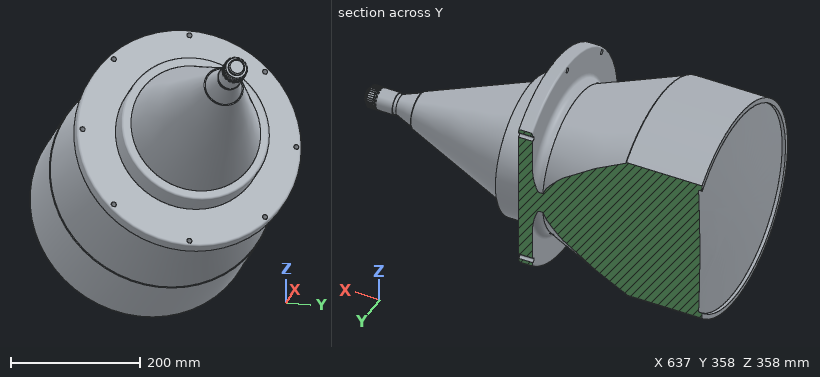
import cadquery as cq
import math


LENGTH = 637.0
BARREL_END = 132.0
NECK_START = 275.0
FLANGE_FRONT = 292.5
FLANGE_THICKNESS = 25.0
HUB_END = 360.0
CONE_END = 548.0
NOSE_CONE_END = 580.0
CONNECTOR_START = 586.0
GRIP_START = 614.5
TIP_START = 632.0

BODY_RADIUS = 179.0
NECK_RADIUS = 122.0
HUB_RADIUS = 118.0
CONE_START_RADIUS = 103.0
CONE_END_RADIUS = 31.0
NOSE_CONE_RADIUS = 29.0
NOSE_RADIUS = 17.0
CONNECTOR_RADIUS = 18.5
TIP_RADIUS = 13.0

NECK_FILLET = 11.5
EDGE_FILLET = 4.0
BARREL_CHAMFER = 1.0
TIP_CHAMFER = 2.0

LENS_RADIUS = 171.0
LENS_RIM_DEPTH = 6.0
LENS_CROWN_DEPTH = 0.5

BOLT_COUNT = 8
BOLT_CIRCLE_RADIUS = 170.0
BOLT_HOLE_DIAMETER = 7.5

GRIP_SLOT_COUNT = 16
GRIP_SLOT_WIDTH = 3.0
GRIP_SLOT_DEPTH = 1.6
GRIP_RING_POSITION = 617.0
GRIP_RING_WIDTH = 2.5

FLANGE_BACK = FLANGE_FRONT + FLANGE_THICKNESS


def revolve_about_x(profile):
    """Revolve a closed XY profile, given as (axial, radial), about the X axis."""
    return profile.close().revolve(360, (0, 0, 0), (1, 0, 0))


def quarter_round(profile, end, centre, radius, angle):
    """Add an arc to end; its middle lies at angle (degrees) from the centre."""
    middle = (
        centre[0] + radius * math.cos(math.radians(angle)),
        centre[1] + radius * math.sin(math.radians(angle)),
    )
    return profile.threePointArc(middle, end)


def lens_middle_point():
    """Point on the spherical lens half way from its crown to its rim."""
    rise = LENS_RIM_DEPTH - LENS_CROWN_DEPTH
    sphere_radius = (LENS_RADIUS**2 + rise**2) / (2 * rise)
    radius = LENS_RADIUS / 2
    drop = sphere_radius - math.sqrt(sphere_radius**2 - radius**2)
    return (LENS_CROWN_DEPTH + drop, radius)


def make_body():
    """Solid of revolution from the lens at the front to the tip of the connector."""
    profile = (
        cq.Workplane("XY")
        .moveTo(LENS_CROWN_DEPTH, 0)
        .threePointArc(lens_middle_point(), (LENS_RIM_DEPTH, LENS_RADIUS))
        .lineTo(0, LENS_RADIUS)
        .lineTo(0, BODY_RADIUS)
        .lineTo(BARREL_END - BARREL_CHAMFER, BODY_RADIUS)
        .lineTo(BARREL_END, BODY_RADIUS - BARREL_CHAMFER)
        .lineTo(NECK_START, NECK_RADIUS)
        .lineTo(FLANGE_FRONT - NECK_FILLET, NECK_RADIUS)
    )
    neck_top = NECK_RADIUS + NECK_FILLET
    profile = quarter_round(
        profile, (FLANGE_FRONT, neck_top), (FLANGE_FRONT - NECK_FILLET, neck_top), NECK_FILLET, -45
    )

    shoulder = BODY_RADIUS - EDGE_FILLET
    front_round = FLANGE_FRONT + EDGE_FILLET
    back_round = FLANGE_BACK - EDGE_FILLET
    profile = profile.lineTo(FLANGE_FRONT, shoulder)
    profile = quarter_round(profile, (front_round, BODY_RADIUS), (front_round, shoulder), EDGE_FILLET, 135)
    profile = profile.lineTo(back_round, BODY_RADIUS)
    profile = quarter_round(profile, (FLANGE_BACK, shoulder), (back_round, shoulder), EDGE_FILLET, 45)

    hub_shoulder = HUB_RADIUS - EDGE_FILLET
    hub_round = HUB_END - EDGE_FILLET
    profile = profile.lineTo(FLANGE_BACK, HUB_RADIUS).lineTo(hub_round, HUB_RADIUS)
    profile = quarter_round(profile, (HUB_END, hub_shoulder), (hub_round, hub_shoulder), EDGE_FILLET, 45)

    profile = (
        profile.lineTo(HUB_END, CONE_START_RADIUS)
        .lineTo(CONE_END, CONE_END_RADIUS)
        .lineTo(CONE_END, NOSE_CONE_RADIUS)
        .lineTo(NOSE_CONE_END, NOSE_RADIUS)
        .lineTo(CONNECTOR_START, NOSE_RADIUS)
        .lineTo(CONNECTOR_START, CONNECTOR_RADIUS)
        .lineTo(TIP_START - TIP_CHAMFER, CONNECTOR_RADIUS)
        .lineTo(TIP_START, CONNECTOR_RADIUS - TIP_CHAMFER)
        .lineTo(TIP_START, TIP_RADIUS)
        .lineTo(LENGTH - TIP_CHAMFER, TIP_RADIUS)
        .lineTo(LENGTH, TIP_RADIUS - TIP_CHAMFER)
        .lineTo(LENGTH, 0)
    )
    return revolve_about_x(profile)


def make_bolt_holes():
    """Ring of round holes through the full flange thickness."""
    return (
        cq.Workplane("YZ", origin=(FLANGE_FRONT, 0, 0))
        .polarArray(BOLT_CIRCLE_RADIUS, 0, 360, BOLT_COUNT)
        .circle(BOLT_HOLE_DIAMETER / 2)
        .extrude(FLANGE_THICKNESS)
    )


def make_grip_slots():
    """Lengthwise slots spaced evenly around the connector."""
    return (
        cq.Workplane("YZ", origin=(GRIP_START, 0, 0))
        .polarArray(CONNECTOR_RADIUS, 0, 360, GRIP_SLOT_COUNT)
        .rect(2 * GRIP_SLOT_DEPTH, GRIP_SLOT_WIDTH)
        .extrude(TIP_START - GRIP_START)
    )


def make_grip_ring():
    """Ring groove that parts the grip in two bands."""
    return (
        cq.Workplane("YZ", origin=(GRIP_RING_POSITION, 0, 0))
        .circle(CONNECTOR_RADIUS)
        .circle(CONNECTOR_RADIUS - GRIP_SLOT_DEPTH)
        .extrude(GRIP_RING_WIDTH)
    )


result = make_body().cut(make_bolt_holes()).cut(make_grip_slots()).cut(make_grip_ring())